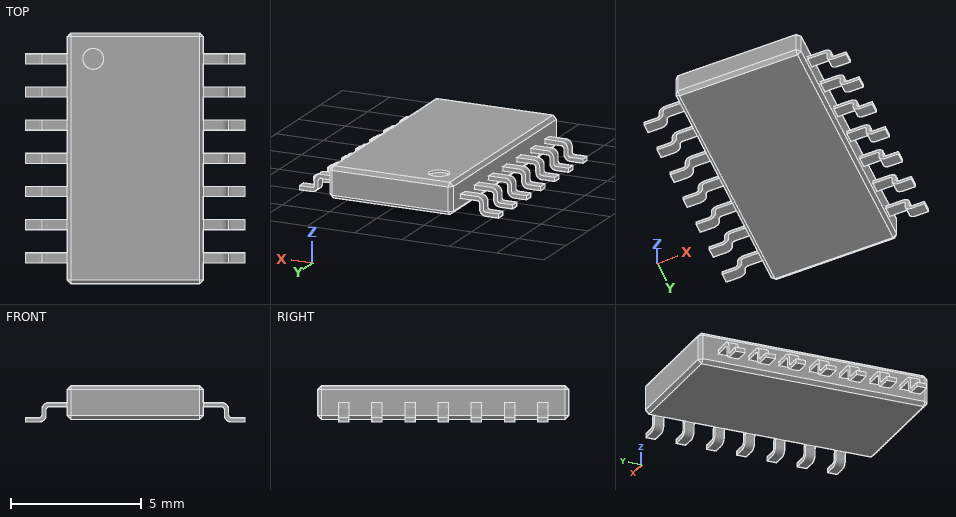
import cadquery as cq

body_length_x = 5.22
body_length_y = 9.62
body_top = 1.4
standoff = 0.1
body_height = body_top - standoff
body_chamfer = 0.15

lead_count = 7
lead_pitch = 1.27
lead_width = 0.4
lead_thickness = 0.17
lead_span = 8.42
lead_top = standoff + body_height / 2
foot_length = 0.63
inner_bend_radius = 0.1
outer_bend_radius = inner_bend_radius + lead_thickness
first_lead_y = lead_pitch * (lead_count - 1) / 2

marker_diameter = 0.8
marker_thickness = 0.1
marker_recess = 0.1
marker_edge_distance = 1.0
marker_x = -body_length_x / 2 + marker_edge_distance
marker_y = first_lead_y


def lead_half_profile():
    """Half of the lead's side profile as a closed wire, from the middle of the body out to the foot tip."""
    tip = lead_span / 2
    riser_outside = tip - foot_length
    riser_inside = riser_outside - lead_thickness
    lead_bottom = lead_top - lead_thickness
    upper_bend_x = riser_outside - outer_bend_radius
    lower_bend_x = riser_outside + inner_bend_radius
    upper_bend_z = lead_top - outer_bend_radius
    lower_bend_z = outer_bend_radius

    return (
        cq.Workplane("XZ")
        .moveTo(0, lead_top)
        .lineTo(upper_bend_x, lead_top)
        .radiusArc((riser_outside, upper_bend_z), outer_bend_radius)
        .lineTo(riser_outside, lower_bend_z)
        .radiusArc((lower_bend_x, lead_thickness), -inner_bend_radius)
        .lineTo(tip, lead_thickness)
        .lineTo(tip, 0)
        .lineTo(lower_bend_x, 0)
        .radiusArc((riser_inside, lower_bend_z), outer_bend_radius)
        .lineTo(riser_inside, upper_bend_z)
        .radiusArc((upper_bend_x, lead_bottom), -inner_bend_radius)
        .lineTo(0, lead_bottom)
        .close()
    )


def make_lead(y):
    """One lead centred at y, with a mirrored bent end on each side of the body."""
    right_half = lead_half_profile().extrude(lead_width / 2, both=True)
    left_half = right_half.mirror("YZ")
    return right_half.union(left_half).translate((0, y, 0))


def make_marker():
    """The disc, its top face sunk below the top of the body."""
    bottom = body_top - marker_recess - marker_thickness
    return (
        cq.Workplane("XY", origin=(marker_x, marker_y, bottom))
        .circle(marker_diameter / 2)
        .extrude(marker_thickness)
    )


def make_body(leads):
    """Chamfered block with the marker pocket and a matching passage for each lead."""
    body = (
        cq.Workplane("XY", origin=(0, 0, standoff))
        .box(body_length_x, body_length_y, body_height, centered=(True, True, False))
        .edges()
        .chamfer(body_chamfer)
    )
    pocket_depth = marker_recess + marker_thickness
    pocket = (
        cq.Workplane("XY", origin=(marker_x, marker_y, body_top - pocket_depth))
        .circle(marker_diameter / 2)
        .extrude(pocket_depth)
    )
    body = body.cut(pocket)
    for lead in leads:
        body = body.cut(lead)
    return body


leads = [make_lead(first_lead_y - index * lead_pitch) for index in range(lead_count)]
marker = make_marker()
body = make_body(leads)

result = cq.Compound.makeCompound([body.val(), marker.val(), *[lead.val() for lead in leads]])